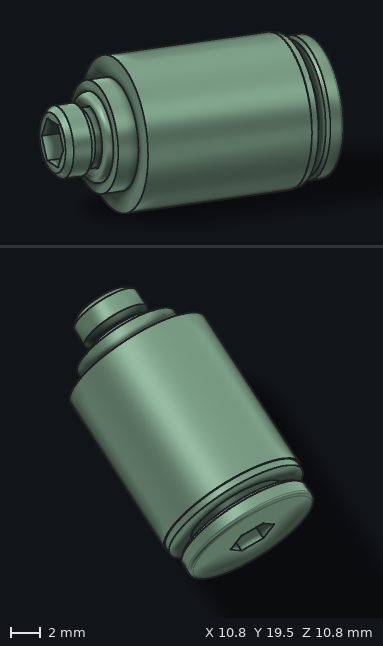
import cadquery as cq
import math

length = 19.45

body_radius = 5.4
step_radius = 5.31
flange_radius = 4.96
sleeve_radius = 3.6
collar_radius = 3.89
stud_radius = 2.5
neck_radius = 2.08

tip_chamfer_length = 0.4
stud_back_chamfer_start = 1.77
neck_start = 2.22
collar_start = 3.07
body_start = 4.59

step_start = 2.65
step_end = 2.12
flange_thickness = 1.3

flange_fillet = 0.25
flange_chamfer = 0.23

ring_section_radius = 0.5
ring_outer_radius = 3.13
ring_centre_y = 3.03

socket_across_flats = 3.0

front_y = -length / 2
rear_y = length / 2


def disc(radius, start_y, end_y):
    """Solid cylinder on the Y axis between two Y positions."""
    return (
        cq.Workplane("XZ", origin=(0, start_y, 0))
        .circle(radius)
        .extrude(start_y - end_y)
    )


def make_stud():
    """Stud chamfered at both ends down to the neck that joins the collar."""
    profile = [
        (0, front_y),
        (neck_radius, front_y),
        (stud_radius, front_y + tip_chamfer_length),
        (stud_radius, front_y + stud_back_chamfer_start),
        (neck_radius, front_y + neck_start),
        (neck_radius, front_y + collar_start),
        (0, front_y + collar_start),
    ]
    return cq.Workplane("XY").polyline(profile).close().revolve(360, (0, 0), (0, 1))


def make_ring():
    """Round-section sealing ring."""
    section_centre_radius = ring_outer_radius - ring_section_radius
    return (
        cq.Workplane("XY", origin=(0, front_y + ring_centre_y, 0))
        .moveTo(section_centre_radius, 0)
        .circle(ring_section_radius)
        .revolve(360, (0, 0), (0, 1))
    )


def make_flange():
    """Release flange, rounded at the rear and chamfered at the front."""
    flange = disc(flange_radius, rear_y - flange_thickness, rear_y)
    return flange.faces(">Y").edges().fillet(flange_fillet).faces("<Y").edges().chamfer(flange_chamfer)


def make_socket():
    """Hexagonal cutter running the full length."""
    corner_diameter = socket_across_flats / math.cos(math.pi / 6)
    return (
        cq.Workplane("XZ", origin=(0, front_y, 0))
        .polygon(6, corner_diameter)
        .extrude(-length)
    )


collar = disc(collar_radius, front_y + collar_start, front_y + body_start)
body = disc(body_radius, front_y + body_start, rear_y - step_start)
step = disc(step_radius, rear_y - step_start, rear_y - step_end)
sleeve = disc(sleeve_radius, rear_y - step_end, rear_y - flange_thickness)

result = make_stud()
for section in (collar, body, step, sleeve, make_flange(), make_ring()):
    result = result.union(section)
result = result.cut(make_socket())